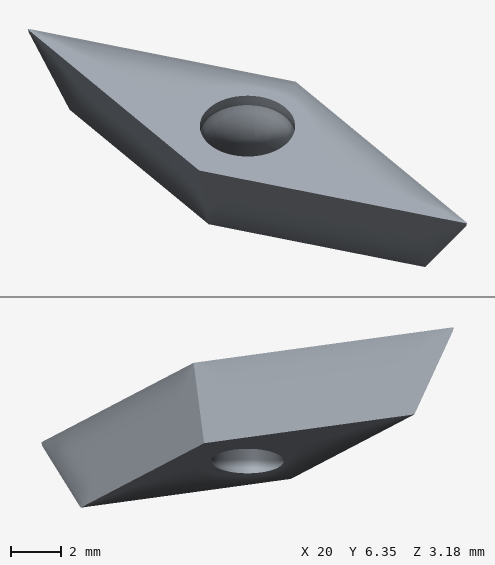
import cadquery as cq
import math


inscribed_circle = 6.35
thickness = 3.18
corner_angle = 35.0
clearance_angle = 11.0
nose_radius = 0.03

hole_diameter = 2.85
head_diameter = 3.75
head_depth = 0.48
seat_bottom_depth = 1.91

half_width = inscribed_circle / 2
corner = math.radians(corner_angle)
half_corner = corner / 2
tip_x = half_width / math.sin(corner) + half_width / math.tan(corner)
obtuse_x = half_width / math.sin(corner) - half_width / math.tan(corner)


def opposite(point):
    """Point turned half a revolution about the hole axis."""
    return (-point[0], -point[1])


def make_blank():
    """Rhombus tapering inward from the top face down.

    The acute corners are rounded at the top face; the taper turns each rounding
    into a small cone that runs out to a sharp corner edge just below.
    """
    tangent_length = nose_radius / math.tan(half_corner)
    nose_center = (-tip_x + tangent_length, -half_width + nose_radius)
    lower_tangent = (nose_center[0], -half_width)
    upper_tangent = (
        -tip_x + tangent_length * math.cos(corner),
        -half_width + tangent_length * math.sin(corner),
    )
    nose_middle = (
        nose_center[0] - nose_radius * math.cos(half_corner),
        nose_center[1] - nose_radius * math.sin(half_corner),
    )
    return (
        cq.Workplane("XY")
        .workplane(offset=thickness)
        .moveTo(*lower_tangent)
        .lineTo(obtuse_x, -half_width)
        .lineTo(*opposite(upper_tangent))
        .threePointArc(opposite(nose_middle), opposite(lower_tangent))
        .lineTo(-obtuse_x, half_width)
        .lineTo(*upper_tangent)
        .threePointArc(nose_middle, lower_tangent)
        .close()
        .extrude(-thickness, taper=clearance_angle)
    )


def make_screw_hole():
    """Straight recess, convex seat tangent to the bore, then the straight bore."""
    hole_radius = hole_diameter / 2
    head_radius = head_diameter / 2
    head_z = thickness - head_depth
    seat_z = thickness - seat_bottom_depth

    seat_step = head_radius - hole_radius
    seat_height = head_z - seat_z
    seat_radius = (seat_step**2 + seat_height**2) / (2 * seat_step)
    half_sweep = math.asin(seat_height / seat_radius) / 2
    seat_middle = (
        hole_radius + seat_radius * (1 - math.cos(half_sweep)),
        seat_z + seat_radius * math.sin(half_sweep),
    )
    return (
        cq.Workplane("XZ")
        .moveTo(0, 0)
        .lineTo(hole_radius, 0)
        .lineTo(hole_radius, seat_z)
        .threePointArc(seat_middle, (head_radius, head_z))
        .lineTo(head_radius, thickness)
        .lineTo(0, thickness)
        .close()
        .revolve(360, (0, 0, 0), (0, 1, 0))
    )


result = make_blank().cut(make_screw_hole())